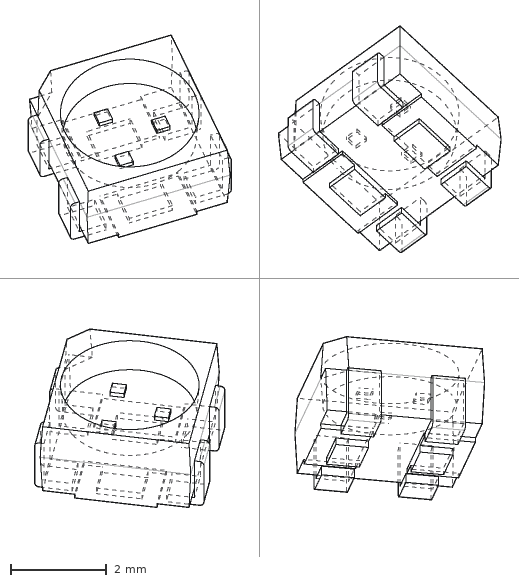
import cadquery as cq

lead_span = 3.6
housing_length = 3.4
housing_width = 3.2
total_height = 2.0

parting_height = 1.2
underside_height = 0.255
taper_inset = 0.045
corner_cut = 0.5

rail_width = 1.75
rail_height = 0.15
foot_width = 0.97

cup_top_diameter = 2.9
cup_floor_diameter = 2.8
cup_depth = 0.75

chip_side = 0.3
chip_height = 0.1
rear_chip_y = 0.7
front_chip_x = 0.612
front_chip_y = -0.355
chip_centers = [(0, rear_chip_y), (-front_chip_x, front_chip_y), (front_chip_x, front_chip_y)]

lead_width = 0.7
lead_thickness = (lead_span - housing_width) / 2
lead_foot_length = 0.8
lead_bend_radius = 0.1
lead_x = 0.9

lead_inner_x = lead_x - lead_width / 2


def make_frustum(end_height, end_inset):
    """Tapered block from the parting plane to another height, where all its sides are inset evenly."""
    return (
        cq.Workplane("XY")
        .workplane(offset=parting_height)
        .rect(housing_length, housing_width)
        .workplane(offset=end_height - parting_height)
        .rect(housing_length - 2 * end_inset, housing_width - 2 * end_inset)
        .loft(ruled=True)
    )


def make_upper_shell():
    """Upper half of the housing, with the vertical polarity cut at the (-X, -Y) corner."""
    upper = make_frustum(total_height, taper_inset)
    corner_x = -housing_length / 2
    corner_y = -housing_width / 2
    corner_wedge = (
        cq.Workplane("XY")
        .workplane(offset=parting_height)
        .moveTo(corner_x, corner_y)
        .lineTo(corner_x + corner_cut, corner_y)
        .lineTo(corner_x, corner_y + corner_cut)
        .close()
        .extrude(total_height - parting_height)
    )
    return upper.cut(corner_wedge)


def make_lower_shell():
    """Lower half of the housing, with its underside cut back to leave a rail at each end."""
    taper_slope = taper_inset / (parting_height - underside_height)
    rail_bottom_inset = taper_slope * (parting_height - rail_height)
    lower = make_frustum(rail_height, rail_bottom_inset)
    rail_length = housing_length / 2 - lead_inner_x
    rail_center_x = lead_inner_x + rail_length / 2
    relief = (
        cq.Workplane("XY")
        .workplane(offset=rail_height)
        .rect(housing_length, housing_width)
        .pushPoints([(-rail_center_x, 0), (rail_center_x, 0)])
        .rect(rail_length, rail_width)
        .extrude(underside_height - rail_height)
    )
    return lower.cut(relief)


def make_feet():
    """Feet under the two rails, in line with the leads."""
    return (
        cq.Workplane("XY")
        .pushPoints([(-lead_x, 0), (lead_x, 0)])
        .rect(lead_width, foot_width)
        .extrude(rail_height)
    )


def make_cup():
    """Tapered round recess, as the solid to be removed."""
    return (
        cq.Workplane("XY")
        .workplane(offset=total_height - cup_depth)
        .circle(cup_floor_diameter / 2)
        .workplane(offset=cup_depth)
        .circle(cup_top_diameter / 2)
        .loft()
    )


def make_chips():
    """Three square chips standing on the cup floor."""
    return (
        cq.Workplane("XY")
        .workplane(offset=total_height - cup_depth)
        .pushPoints(chip_centers)
        .rect(chip_side, chip_side)
        .extrude(chip_height)
    )


def make_housing():
    """Complete housing: both halves, cup, feet and chips as one solid."""
    shell = make_upper_shell().union(make_lower_shell())
    return shell.cut(make_cup()).union(make_feet()).union(make_chips())


def make_lead(center_x, side):
    """Upright strip beside the housing with a foot turned in below it; side is the sign of Y."""
    outer_face = ">Y" if side > 0 else "<Y"
    outer_y = side * lead_span / 2
    inner_y = side * (lead_span / 2 - lead_thickness)
    toe_y = side * (lead_span / 2 - lead_foot_length)
    return (
        cq.Workplane("YZ")
        .workplane(offset=center_x - lead_width / 2)
        .moveTo(inner_y, parting_height)
        .lineTo(outer_y, parting_height)
        .lineTo(outer_y, 0)
        .lineTo(toe_y, 0)
        .lineTo(toe_y, lead_thickness)
        .lineTo(inner_y, lead_thickness)
        .close()
        .extrude(lead_width)
        .faces(outer_face)
        .edges("|X")
        .fillet(lead_bend_radius)
    )


housing = make_housing()
leads = [make_lead(x, side) for x in (-lead_x, lead_x) for side in (-1, 1)]

result = cq.Compound.makeCompound([housing.val(), *[lead.val() for lead in leads]])